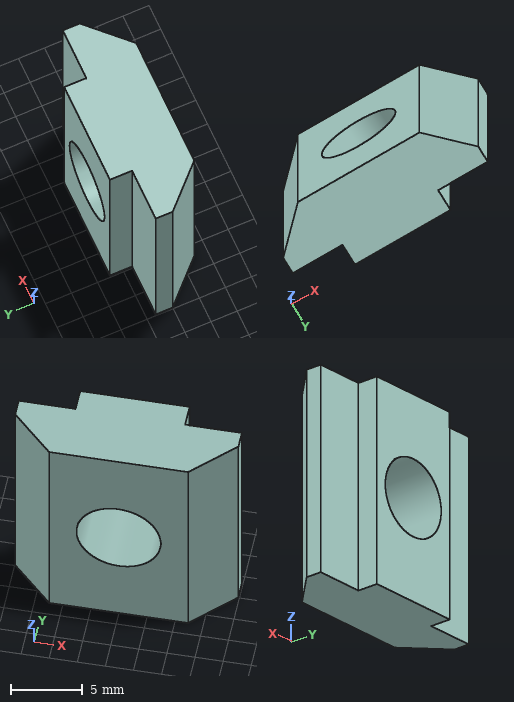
import cadquery as cq

width = 15.9
thickness = 6.0
length = 16.0

tongue_width = 7.8
tongue_height = 1.7
bevel = thickness / 2
hole_diameter = 6.0

half_width = width / 2
half_tongue = tongue_width / 2
half_front = half_width - bevel
front_y = -thickness / 2
back_y = thickness / 2
bevel_y = front_y + bevel
shoulder_y = back_y - tongue_height


def nut_body():
    """Bevelled T-section, extruded along Z and centred on the origin."""
    half_section = [
        (0, front_y),
        (half_front, front_y),
        (half_width, bevel_y),
        (half_width, shoulder_y),
        (half_tongue, shoulder_y),
        (half_tongue, back_y),
        (0, back_y),
    ]
    return (
        cq.Workplane("XY")
        .polyline(half_section)
        .mirrorY()
        .extrude(length / 2, both=True)
    )


def through_hole():
    """Plain round hole through the full thickness along Y."""
    back_plane = cq.Workplane("XZ", origin=(0, back_y, 0))
    return back_plane.circle(hole_diameter / 2).extrude(thickness)


result = nut_body().cut(through_hole())